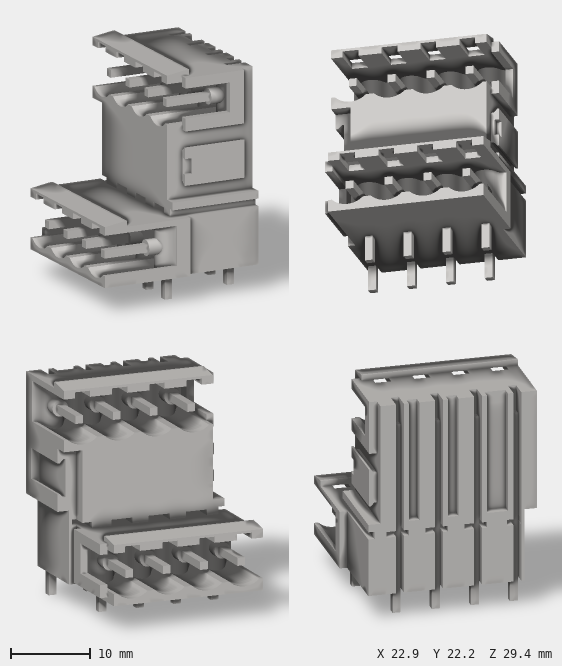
import cadquery as cq
import math


poles = 4
level_width = 20.32
pitch = level_width / poles

level_depth = 12.1
level_height = 7.62
floor_z = 1.55
roof_z = 6.82
pin_axis_z = 3.74
channel_radius = 2.97
lip_depth = 3.12
lip_flat = 0.3
lip_top_z = 8.38
lip_front_z = 7.95
window_width = 2.05
window_depth = 4.18

column_front = 8.45
column_radius = 1.5
valley_radius = 1.18
flank_angle = math.radians(60)
collar_front = 7.03
collar_radius = 1.05

side_wall = 1.0
side_wall_front = 2.12
side_wall_back = 10.38
side_wall_bottom = 0.65
side_gap_back = 8.38
side_gap_bottom = 2.32
side_gap_top = 6.23

lower_origin = (pitch / 2, 0, 0)
upper_y = 10.05
upper_z = 17.8
upper_origin = (0, upper_y, upper_z)
back_y = upper_y + level_depth

base_left = 1.6
base_right = base_left + level_width
base_top = 9.6

slot_top = 8.38
first_slot_left = 2.0
first_slot_right = 3.85
middle_slot_left = 6.47
middle_slot_width = 2.9
end_slot_left = 21.12
end_slot_top = 8.6

dovetail_z = 13.85
dovetail_neck = 0.32
dovetail_flank = 0.47
dovetail_half_narrow = 2.0
dovetail_half_wide = 2.47
dovetail_back_wall = 1.68
groove_depth = 1.12
key_depth = 1.03
key_pocket_width = 0.6
key_pocket_height = 2.03
key_pocket_depth = 1.0

pin_size = 1.03
pin_tip = 1.0
pin_leg_back = 1.55
tail_length = 3.24

pocket_depth = 1.24
pocket_right = 6.47
wide_pocket = 2.7
narrow_pocket = 1.35


def box(x_range, y_range, z_range):
    """Box between two X, two Y and two Z values."""
    (x0, x1), (y0, y1), (z0, z1) = x_range, y_range, z_range
    return cq.Workplane("XY").box(x1 - x0, y1 - y0, z1 - z0, centered=False).translate((x0, y0, z0))


def pole_x(index):
    """X of a pole axis within a level."""
    return (index + 0.5) * pitch


def channelled_floor():
    """Floor of a level, with a round channel centred on each pin axis."""
    floor = box((0, level_width), (0, level_depth), (0, floor_z))
    for index in range(poles):
        channel = cq.Workplane("XZ", origin=(pole_x(index), 0, pin_axis_z)).circle(channel_radius)
        floor = floor.cut(channel.extrude(-level_depth))
    return floor


def rear_wall_cavity():
    """Open space between floor and roof, ending at the wavy rear wall."""
    sin_a = math.sin(flank_angle)
    cos_a = math.cos(flank_angle)
    column_half = column_radius * sin_a
    valley_half = valley_radius * sin_a
    column_end = column_front + column_radius * (1 - cos_a)
    flank_run = pitch / 2 - column_half - valley_half
    valley_start = column_end + flank_run * math.tan(flank_angle)
    valley_bottom = valley_start + valley_radius * (1 - cos_a)
    half_turn = flank_angle / 2
    mid_x = valley_radius * math.sin(half_turn)
    mid_y = valley_bottom - valley_radius * (1 - math.cos(half_turn))

    wall = cq.Workplane("XY").moveTo(0, 0).lineTo(0, valley_bottom)
    for index in range(poles):
        left = index * pitch
        right = left + pitch
        axis = pole_x(index)
        wall = (
            wall.threePointArc((left + mid_x, mid_y), (left + valley_half, valley_start))
            .lineTo(axis - column_half, column_end)
            .threePointArc((axis, column_front), (axis + column_half, column_end))
            .lineTo(right - valley_half, valley_start)
            .threePointArc((right - mid_x, mid_y), (right, valley_bottom))
        )
    open_space = wall.lineTo(level_width, 0).close().extrude(roof_z)
    return open_space.cut(channelled_floor())


def lip():
    """Sloping latch lip along the front of the roof."""
    return (
        cq.Workplane("YZ")
        .polyline([
            (0, roof_z),
            (lip_depth, roof_z),
            (lip_depth, lip_top_z),
            (lip_depth - lip_flat, lip_top_z),
            (0, lip_front_z),
        ])
        .close()
        .extrude(level_width)
    )


def side_wall_c():
    """C-shaped wall standing against a side of the level, from X = 0 to its thickness."""
    wall = box((0, side_wall), (side_wall_front, side_wall_back), (side_wall_bottom, level_height))
    return wall.cut(box((0, side_wall), (side_wall_front, side_gap_back), (side_gap_bottom, side_gap_top)))


def level(side_wall_x):
    """One level with its side wall at the given X, in the level's own coordinates."""
    body = box((0, level_width), (0, level_depth), (0, level_height)).union(lip())
    body = body.cut(rear_wall_cavity())
    for index in range(poles):
        axis = pole_x(index)
        x_range = (axis - window_width / 2, axis + window_width / 2)
        body = body.cut(box(x_range, (0, window_depth), (roof_z, level_height)))
        collar = cq.Workplane("XZ", origin=(axis, collar_front, pin_axis_z)).circle(collar_radius)
        body = body.union(collar.extrude(collar_front - side_wall_back))
    return body.union(side_wall_c().translate((side_wall_x, 0, 0)))


def dovetail(side_x, depth):
    """Dovetail bar that starts at a side face and widens towards +X."""
    flank_x = side_x + dovetail_neck
    wide_x = flank_x + dovetail_flank
    end_x = side_x + depth
    upper_half = [(side_x, dovetail_half_narrow), (flank_x, dovetail_half_narrow),
                  (wide_x, dovetail_half_wide), (end_x, dovetail_half_wide)]
    lower_half = [(x, -z) for x, z in reversed(upper_half)]
    return (
        cq.Workplane("XZ", origin=(0, level_depth, dovetail_z))
        .polyline(upper_half + lower_half)
        .close()
        .extrude(-(back_y - dovetail_back_wall - level_depth))
    )


def key():
    """Dovetail key on the right side, with a shallow pocket in its front end."""
    key_end = level_width + key_depth
    pocket = box(
        (key_end - key_pocket_width, key_end),
        (level_depth, level_depth + key_pocket_depth),
        (dovetail_z - key_pocket_height / 2, dovetail_z + key_pocket_height / 2),
    )
    return dovetail(level_width, key_depth).cut(pocket)


def tower():
    """Base and tower that carry the upper level; the lower left front is set back."""
    body = box((base_left, base_right), (level_depth, back_y), (0, base_top))
    body = body.union(box((pitch / 2, base_right), (upper_y, back_y), (level_height, base_top)))
    body = body.union(box((0, level_width), (level_depth, back_y), (base_top, upper_z)))
    return body.union(box((pitch / 2, level_width), (upper_y, back_y), (base_top, upper_z)))


def crosswise_slots():
    """Slots that run from front to back just above the roof of the lower level."""
    y_range = (upper_y, back_y)
    slots = box((first_slot_left, first_slot_right), y_range, (level_height, slot_top))
    for index in range(poles - 1):
        left = middle_slot_left + index * pitch
        slots = slots.union(box((left, left + middle_slot_width), y_range, (level_height, slot_top)))
    return slots.union(box((end_slot_left, base_right), y_range, (level_height, end_slot_top)))


def rear_pin_slots():
    """Full-height slots in the back, in which the legs of the upper pins sit."""
    y_range = (back_y - pin_leg_back - pin_size, back_y)
    slots = cq.Workplane("XY")
    for index in range(poles):
        axis = pole_x(index)
        x_range = (axis - pin_size / 2, axis + pin_size / 2)
        slots = slots.add(box(x_range, y_range, (0, upper_z + level_height)))
    return slots.combine()


def rear_pockets():
    """Pockets in the back between the pin slots, down to the base; the first is wider."""
    pockets = cq.Workplane("XY")
    for index in range(poles - 1):
        right = pocket_right + index * pitch
        width = wide_pocket if index == 0 else narrow_pocket
        pockets = pockets.add(
            box((right - width, right), (back_y - pocket_depth, back_y), (base_top, upper_z + level_height))
        )
    return pockets.combine()


def make_housing(pins):
    """Housing with both levels, and a matching hole for each pin."""
    body = tower()
    body = body.union(level(-side_wall).translate(lower_origin))
    body = body.union(level(level_width).translate(upper_origin))
    body = body.cut(dovetail(0, groove_depth)).union(key())
    body = body.cut(crosswise_slots()).cut(rear_pin_slots()).cut(rear_pockets())
    for pin in pins:
        body = body.cut(pin)
    return body


def make_pin(index, origin):
    """Right-angle square pin of one pole: level contact and vertical solder tail."""
    level_x, level_y, level_z = origin
    leg_back = level_y + level_depth - pin_leg_back
    leg_front = leg_back - pin_size
    top = level_z + pin_axis_z + pin_size / 2
    axis = level_x + pole_x(index)
    x_range = (axis - pin_size / 2, axis + pin_size / 2)
    contact = box(x_range, (level_y + pin_tip, leg_back), (top - pin_size, top))
    leg = box(x_range, (leg_front, leg_back), (-tail_length, top))
    return contact.union(leg)


pins = [make_pin(index, origin) for origin in (lower_origin, upper_origin) for index in range(poles)]
housing = make_housing(pins)

result = cq.Compound.makeCompound([housing.solids().val(), *[pin.val() for pin in pins]])